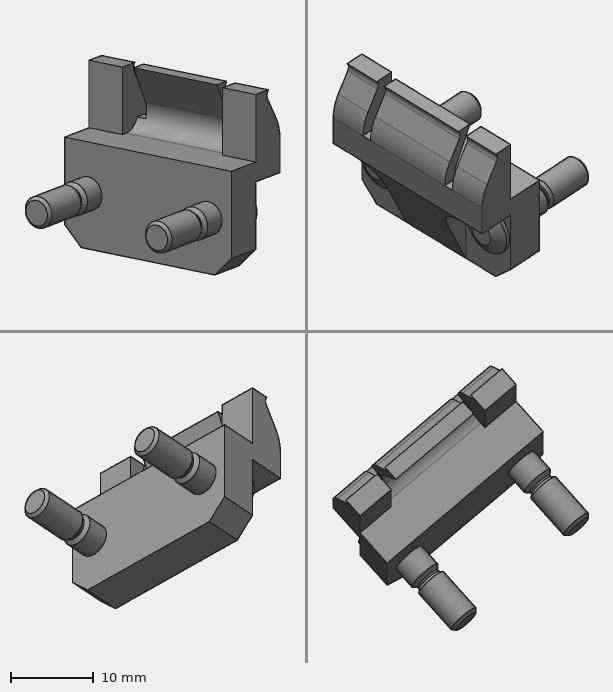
import cadquery as cq
import math


width = 25.0
height = 22.0
plate_depth = 5.0
total_depth = 10.0
plate_top = 13.5
corner_chamfer = 2.5
jaw_underside = 11.0

round_radius = 6.0
round_start = 15.0
groove_radius = 1.0
groove_bottom_y = 7.32
groove_z = 21.32

post_width = 5.0
tongue_width = 12.5
slot_floor = 15.0
tongue_tip_y = 5.6
hollow_radius = 2.5
hollow_y = 5.75

screw_offset = 9.0
screw_z = 7.0
shoulder_radius = 2.1
shoulder_end = 2.95
neck_radius = 1.6
neck_width = 0.25
thread_radius = 2.0
tip_end = 10.5
head_radius = 3.3
head_rim = 0.5
head_height = 1.5
head_top_radius = 1.55

posts_gap = width - 2 * post_width
head_clearance_radius = jaw_underside - screw_z


def extrude_across(profile, length):
    """Extrude a closed YZ profile along X, centred on X = 0."""
    return profile.close().extrude(length / 2, both=True)


def point_on_circle(center, radius, angle):
    return (center[0] + radius * math.cos(angle), center[1] + radius * math.sin(angle))


def make_body():
    """Plate, jaw and the sloping web under the jaw, as one full-width profile."""
    round_center = (total_depth - round_radius, round_start)
    groove_center = (groove_bottom_y + groove_radius, groove_z)

    dy = groove_center[0] - round_center[0]
    dz = groove_center[1] - round_center[1]
    tangent_angle = math.atan2(dz, dy) - math.acos((round_radius + groove_radius) / math.hypot(dy, dz))
    round_end = point_on_circle(round_center, round_radius, tangent_angle)
    round_middle = point_on_circle(round_center, round_radius, tangent_angle / 2)
    groove_start = point_on_circle(groove_center, groove_radius, tangent_angle + math.pi)
    groove_middle = (groove_bottom_y, groove_z)
    groove_lip_y = groove_center[0] - math.sqrt(groove_radius**2 - (height - groove_z) ** 2)

    profile = (
        cq.Workplane("YZ")
        .moveTo(0, 0)
        .lineTo(plate_depth, 0)
        .lineTo(total_depth, jaw_underside)
        .lineTo(total_depth, round_start)
        .threePointArc(round_middle, round_end)
        .lineTo(*groove_start)
        .threePointArc(groove_middle, (groove_lip_y, height))
        .lineTo(plate_depth, height)
        .lineTo(plate_depth, plate_top)
        .lineTo(0, plate_top)
    )
    body = extrude_across(profile, width)
    return body.edges("|Y and <Z").chamfer(corner_chamfer)


def make_hollow():
    """Space in front of the tongue: a round floor hollow running into an overhanging flat."""
    center = (hollow_y, plate_top + hollow_radius)

    dy = tongue_tip_y - center[0]
    dz = height - center[1]
    tangent_angle = math.atan2(dz, dy) - math.acos(hollow_radius / math.hypot(dy, dz))
    arc_end = point_on_circle(center, hollow_radius, tangent_angle)
    arc_middle = point_on_circle(center, hollow_radius, (tangent_angle - math.pi / 2) / 2)

    profile = (
        cq.Workplane("YZ")
        .moveTo(0, plate_top)
        .lineTo(hollow_y, plate_top)
        .threePointArc(arc_middle, arc_end)
        .lineTo(tongue_tip_y, height)
        .lineTo(0, height)
    )
    return extrude_across(profile, posts_gap)


def make_slot(side):
    """Gap between the tongue and the end post on one side (-1 or +1)."""
    slot_width = (posts_gap - tongue_width) / 2
    slot_x = (posts_gap + tongue_width) / 4
    return (
        cq.Workplane("XY", origin=(side * slot_x, total_depth / 2, slot_floor))
        .box(slot_width, total_depth, height - slot_floor, centered=(True, True, False))
    )


def make_head_clearance(side):
    """Space behind the plate for one screw head: rounded on the inner top corner, open outwards and down."""
    outer_x = side * width / 2
    screw_x = side * screw_offset
    inner_x = screw_x - side * head_clearance_radius
    arc_step = head_clearance_radius * math.sqrt(0.5)
    return (
        cq.Workplane("XZ", origin=(0, plate_depth, 0))
        .moveTo(outer_x, 0)
        .lineTo(outer_x, jaw_underside)
        .lineTo(screw_x, jaw_underside)
        .threePointArc((screw_x - side * arc_step, screw_z + arc_step), (inner_x, screw_z))
        .lineTo(inner_x, 0)
        .close()
        .extrude(-(total_depth - plate_depth))
    )


def make_screw(side):
    """Screw with a conical head behind the plate and a necked shank projecting in front of it."""
    neck_start = shoulder_end + shoulder_radius - neck_radius
    neck_end = neck_start + neck_width
    tip_chamfer = thread_radius - neck_radius
    head_back = plate_depth + head_height
    return (
        cq.Workplane("XY", origin=(side * screw_offset, 0, screw_z))
        .moveTo(0, head_back)
        .lineTo(head_top_radius, head_back)
        .lineTo(head_radius, plate_depth + head_rim)
        .lineTo(head_radius, plate_depth)
        .lineTo(shoulder_radius, plate_depth)
        .lineTo(shoulder_radius, -shoulder_end)
        .lineTo(neck_radius, -neck_start)
        .lineTo(neck_radius, -neck_end)
        .lineTo(thread_radius, -neck_end - tip_chamfer)
        .lineTo(thread_radius, -tip_end + tip_chamfer)
        .lineTo(neck_radius, -tip_end)
        .lineTo(0, -tip_end)
        .close()
        .revolve(360, (0, 0, 0), (0, 1, 0))
    )


result = make_body().cut(make_hollow())
for side in (-1, 1):
    result = result.cut(make_slot(side))
    result = result.cut(make_head_clearance(side))
    result = result.union(make_screw(side))